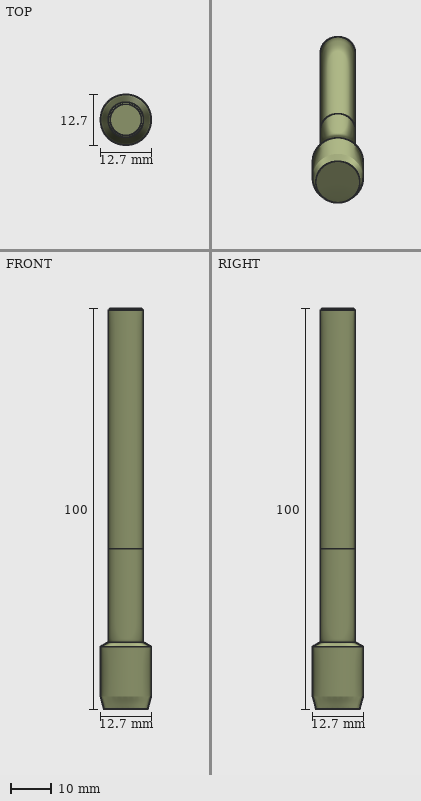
import cadquery as cq
import math

TOTAL_LENGTH = 100.0
SHANK_LENGTH = 60.0
NECK_LENGTH = TOTAL_LENGTH - SHANK_LENGTH

STEM_DIAMETER = 8.8
END_CHAMFER = 0.5

COLLAR_DIAMETER = 12.7
COLLAR_TOP = 15.6
SHOULDER_ANGLE = 30.0
NOSE_LENGTH = 3.2
NOSE_ANGLE = 15.0

stem_radius = STEM_DIAMETER / 2
collar_radius = COLLAR_DIAMETER / 2
shoulder_rise = (collar_radius - stem_radius) * math.tan(math.radians(SHOULDER_ANGLE))
nose_radius = collar_radius - NOSE_LENGTH * math.tan(math.radians(NOSE_ANGLE))


def make_collared_neck():
    """Lower body: tapered nose, collar, conical shoulder and plain neck."""
    return (
        cq.Workplane("XZ")
        .lineTo(nose_radius, 0)
        .lineTo(collar_radius, NOSE_LENGTH)
        .lineTo(collar_radius, COLLAR_TOP)
        .lineTo(stem_radius, COLLAR_TOP + shoulder_rise)
        .lineTo(stem_radius, NECK_LENGTH)
        .lineTo(0, NECK_LENGTH)
        .close()
        .revolve(360, (0, 0, 0), (0, 1, 0))
    )


def make_shank():
    """Upper body: plain cylinder on the neck, chamfered at its free end."""
    return (
        cq.Workplane("XY")
        .workplane(offset=NECK_LENGTH)
        .circle(stem_radius)
        .extrude(SHANK_LENGTH)
        .faces(">Z")
        .edges()
        .chamfer(END_CHAMFER)
    )


collared_neck = make_collared_neck()
shank = make_shank()

result = cq.Compound.makeCompound([collared_neck.val(), shank.val()])